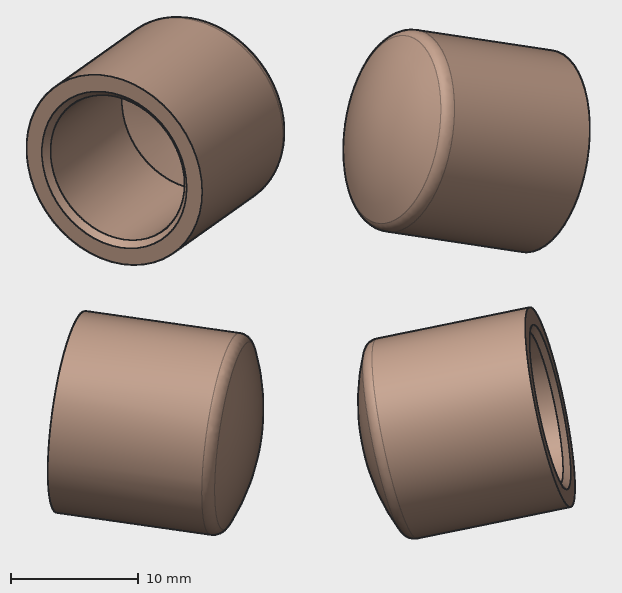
import cadquery as cq
import math

outer_radius = 8.0
total_length = 15.0
crown_radius = 17.0
edge_round = 1.0

bore_radius = 6.1
mouth_radius = 6.6
mouth_chamfer = mouth_radius - bore_radius
floor_slope = 15.0
crown_thickness = outer_radius - bore_radius

bore_apex = total_length - crown_thickness
bore_wall_end = bore_apex - bore_radius * math.tan(math.radians(floor_slope))


def crown_height(radius):
    """Y position on the crown sphere at a given distance from the axis."""
    crown_center = total_length - crown_radius
    return crown_center + math.sqrt(crown_radius**2 - radius**2)


def revolve_about_axis(profile):
    """Turn a closed half profile, drawn at +X, once around the Y axis."""
    return profile.revolve(360, (0, 0, 0), (0, 1, 0))


def crowned_body():
    """Solid cylinder with a spherical crown and a rounded crown edge."""
    arc_middle = outer_radius / 2
    profile = (
        cq.Workplane("XY")
        .lineTo(outer_radius, 0)
        .lineTo(outer_radius, crown_height(outer_radius))
        .threePointArc((arc_middle, crown_height(arc_middle)), (0, total_length))
        .close()
    )
    return revolve_about_axis(profile).faces("%CYLINDER").edges(">Y").fillet(edge_round)


def blind_bore():
    """Space inside the cap: lead-in chamfer, straight wall and conical floor."""
    profile = (
        cq.Workplane("XY")
        .lineTo(mouth_radius, 0)
        .lineTo(bore_radius, mouth_chamfer)
        .lineTo(bore_radius, bore_wall_end)
        .lineTo(0, bore_apex)
        .close()
    )
    return revolve_about_axis(profile)


result = crowned_body().cut(blind_bore())